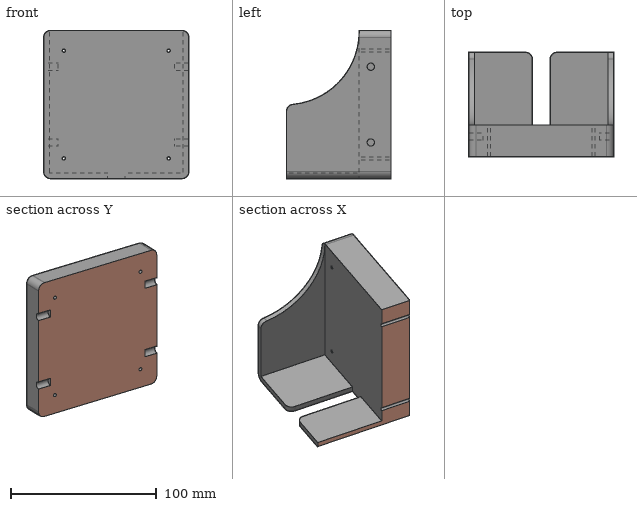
import cadquery as cq

width = 100.0
depth = 72.0
height = 102.0

block_depth = 22.0
wall = 4.0
corner_radius = 5.0
slot_width = 12.0

sweep_radius = depth - block_depth
sweep_low_height = height / 2
sweep_center_height = sweep_low_height + sweep_radius

screw_diameter = 2.0
screw_inset = 14.0

side_hole_diameter = 5.0
side_hole_depth = 10.0
side_hole_setback = 14.0
side_hole_spacing = 52.0

select_margin = 0.1


def upright_box(x_size, y_start, y_end, z_start, z_end):
    """Box centred on X, spanning the given Y and Z ranges."""
    return (
        cq.Workplane("XY")
        .box(x_size, y_end - y_start, z_end - z_start, centered=(True, False, False))
        .translate((0, y_start, z_start))
    )


def make_shell():
    """Rounded body, hollowed behind the block into two walls and a floor."""
    body = upright_box(width, 0, depth, 0, height).edges("|Y").fillet(corner_radius)
    cavity = upright_box(width - 2 * wall, block_depth, depth, wall, height)
    return body.cut(cavity)


def make_sweep_cut():
    """Quarter-round void that lowers the walls towards the rear."""
    void = (
        cq.Workplane("YZ")
        .center(depth, sweep_center_height)
        .circle(sweep_radius)
        .extrude(width / 2, both=True)
    )
    above_center = upright_box(width, block_depth, depth, sweep_center_height, height)
    return void.union(above_center)


def make_floor_slot():
    """Slot through the floor, open at the rear."""
    return upright_box(slot_width, block_depth, depth, 0, wall)


def make_screw_holes():
    """Four holes along Y, one near each corner of the block."""
    return (
        cq.Workplane("XZ")
        .center(0, height / 2)
        .rect(width - 2 * screw_inset, height - 2 * screw_inset, forConstruction=True)
        .vertices()
        .circle(screw_diameter / 2)
        .extrude(-block_depth)
    )


def make_side_holes(side):
    """Pair of blind holes along X; side is -1 for the left face, 1 for the right."""
    return (
        cq.Workplane("YZ", origin=(side * width / 2, side_hole_setback, height / 2))
        .rarray(1, side_hole_spacing, 1, 2)
        .circle(side_hole_diameter / 2)
        .extrude(-side * side_hole_depth)
    )


def round_rear_corners(body, edge_direction, half_span, z_low, z_high):
    """Fillet the rear-face edges that run in edge_direction within the given X and Z limits."""
    rear_zone = cq.selectors.BoxSelector(
        (-half_span, depth - select_margin, z_low), (half_span, depth + select_margin, z_high)
    )
    return body.edges(edge_direction).edges(rear_zone).fillet(corner_radius)


result = make_shell().cut(make_sweep_cut()).cut(make_floor_slot())

result = round_rear_corners(
    result, "|X", width, sweep_low_height - select_margin, sweep_low_height + select_margin
)
result = round_rear_corners(result, "|Z", slot_width, 0, wall)

result = result.cut(make_screw_holes())
for side in (-1, 1):
    result = result.cut(make_side_holes(side))